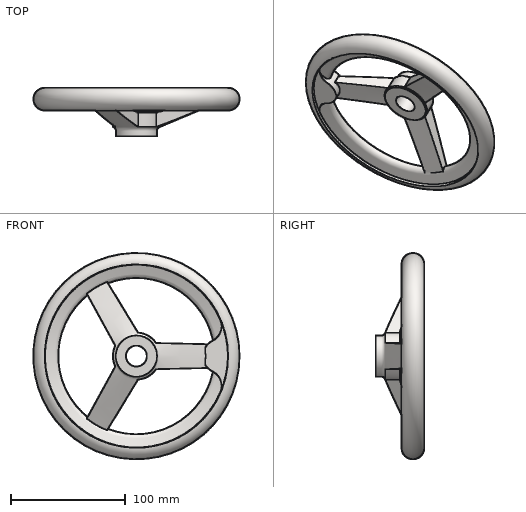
import cadquery as cq
import math


grip_round_radius = 10.0
grip_centre_radius = 80.0
rim_half_width = grip_round_radius
rim_front = -rim_half_width
rim_recess_depth = 2.5
recess_wall_inset = 0.4
recess_radius = grip_centre_radius - recess_wall_inset
web_half_width = rim_half_width - rim_recess_depth
rim_inner_radius = 68.0
nose_radius = 5.0
nose_centre_radius = rim_inner_radius + nose_radius

hub_radius = 20.6
hub_front_radius = 18.0
bore_radius = 9.0
hub_projection = 22.5
hub_front = rim_front - hub_projection
hub_front_length = 5.0
hub_cove_radius = 20.25
hub_cove_length = 3.2
hub_cove_start = hub_front + hub_front_length
hub_cove_end = hub_cove_start + hub_cove_length
hub_back_setback = 0.6
hub_back = rim_front - hub_back_setback
hub_back_chamfer = 1.0

spoke_count = 3
spoke_half_width_axis = 11.9
spoke_side_taper = 0.023
spoke_front_cross_radius = 54.3
spoke_front_slope = (rim_front - hub_cove_end) / (spoke_front_cross_radius - hub_cove_radius)
spoke_back_slope = 0.31
spoke_back_start_y = hub_back - hub_back_chamfer
spoke_outer_radius = nose_centre_radius

boss_centre_x = 73.0
boss_radius = 15.0
boss_fillet_radius = 14.0
boss_root_depth = 3.0
boss_root_radius = grip_centre_radius + boss_root_depth
boss_front = rim_front + rim_recess_depth
boss_back = -boss_front


def plan_extrusion(outline, y_start, y_end):
    """Extrude a closed XZ outline, drawn with local y = Z, from y_start to y_end."""
    return outline.extrude(-(y_end - y_start)).translate((0, y_start, 0))


def revolve_about_y(profile):
    """Revolve a (radius, y) profile about the Y axis."""
    return profile.close().revolve(360, (0, 0, 0), (0, 1, 0))


def spoke_front_y(radius):
    """Y of the front cone of the spokes at a distance from the wheel axis."""
    return rim_front + (radius - spoke_front_cross_radius) * spoke_front_slope


def make_rim():
    corner_run = recess_radius - nose_centre_radius
    corner_distance = math.hypot(corner_run, web_half_width)
    tangent_angle = math.atan2(web_half_width, corner_run) + math.acos(nose_radius / corner_distance)
    tangent_radius = nose_centre_radius + nose_radius * math.cos(tangent_angle)
    tangent_y = nose_radius * math.sin(tangent_angle)
    profile = (
        cq.Workplane("XY")
        .moveTo(grip_centre_radius, -rim_half_width)
        .threePointArc((grip_centre_radius + grip_round_radius, 0), (grip_centre_radius, rim_half_width))
        .lineTo(recess_radius, web_half_width)
        .lineTo(tangent_radius, tangent_y)
        .threePointArc((rim_inner_radius, 0), (tangent_radius, -tangent_y))
        .lineTo(recess_radius, -web_half_width)
    )
    return revolve_about_y(profile)


def make_spoke_plan(index):
    """One tapering spoke as seen along the axis, from the wheel axis into the rim."""
    outer_half_width = spoke_half_width_axis - spoke_outer_radius * spoke_side_taper
    outline = (
        cq.Workplane("XZ")
        .moveTo(0, -spoke_half_width_axis)
        .lineTo(spoke_outer_radius, -outer_half_width)
        .lineTo(spoke_outer_radius, outer_half_width)
        .lineTo(0, spoke_half_width_axis)
        .close()
    )
    spoke = plan_extrusion(outline, hub_front, rim_half_width)
    return spoke.rotate((0, 0, 0), (0, 1, 0), index * 360 / spoke_count)


def make_hub_and_spokes():
    spoke_back_rise = (spoke_outer_radius - hub_radius) * spoke_back_slope
    section = revolve_about_y(
        cq.Workplane("XY")
        .moveTo(0, hub_front)
        .lineTo(hub_front_radius, hub_front)
        .lineTo(hub_front_radius, hub_cove_start)
        .tangentArcPoint((hub_cove_radius, hub_cove_end), relative=False)
        .lineTo(spoke_outer_radius, spoke_front_y(spoke_outer_radius))
        .lineTo(spoke_outer_radius, spoke_back_start_y + spoke_back_rise)
        .lineTo(hub_radius, spoke_back_start_y)
        .lineTo(hub_radius - hub_back_chamfer, hub_back)
        .lineTo(0, hub_back)
    )
    plan = plan_extrusion(cq.Workplane("XZ").circle(hub_radius), hub_front, rim_half_width)
    for index in range(spoke_count):
        plan = plan.union(make_spoke_plan(index))
    return section.intersect(plan)


def make_handle_boss():
    fillet_to_boss = boss_radius + boss_fillet_radius
    fillet_to_axis = recess_radius - boss_fillet_radius
    fillet_x = (fillet_to_axis**2 - fillet_to_boss**2 + boss_centre_x**2) / (2 * boss_centre_x)
    fillet_z = math.sqrt(fillet_to_axis**2 - fillet_x**2)
    boss_share = boss_radius / fillet_to_boss
    boss_touch = (boss_centre_x + (fillet_x - boss_centre_x) * boss_share, fillet_z * boss_share)
    ring_share = recess_radius / fillet_to_axis
    root_share = boss_root_radius / fillet_to_axis
    ring_touch = (fillet_x * ring_share, fillet_z * ring_share)
    root_corner = (fillet_x * root_share, fillet_z * root_share)
    mid_angle = (
        math.atan2(boss_touch[1] - fillet_z, boss_touch[0] - fillet_x)
        + math.atan2(ring_touch[1] - fillet_z, ring_touch[0] - fillet_x)
    ) / 2
    fillet_mid = (
        fillet_x + boss_fillet_radius * math.cos(mid_angle),
        fillet_z + boss_fillet_radius * math.sin(mid_angle),
    )

    def mirrored(point):
        return (point[0], -point[1])

    outline = (
        cq.Workplane("XZ")
        .moveTo(*root_corner)
        .lineTo(*ring_touch)
        .threePointArc(fillet_mid, boss_touch)
        .threePointArc((boss_centre_x - boss_radius, 0), mirrored(boss_touch))
        .threePointArc(mirrored(fillet_mid), mirrored(ring_touch))
        .lineTo(*mirrored(root_corner))
        .threePointArc((boss_root_radius, 0), root_corner)
        .close()
    )
    return plan_extrusion(outline, boss_front, boss_back)


body = make_rim().union(make_hub_and_spokes()).union(make_handle_boss())
bore = plan_extrusion(cq.Workplane("XZ").circle(bore_radius), hub_front, hub_back)
result = body.cut(bore)